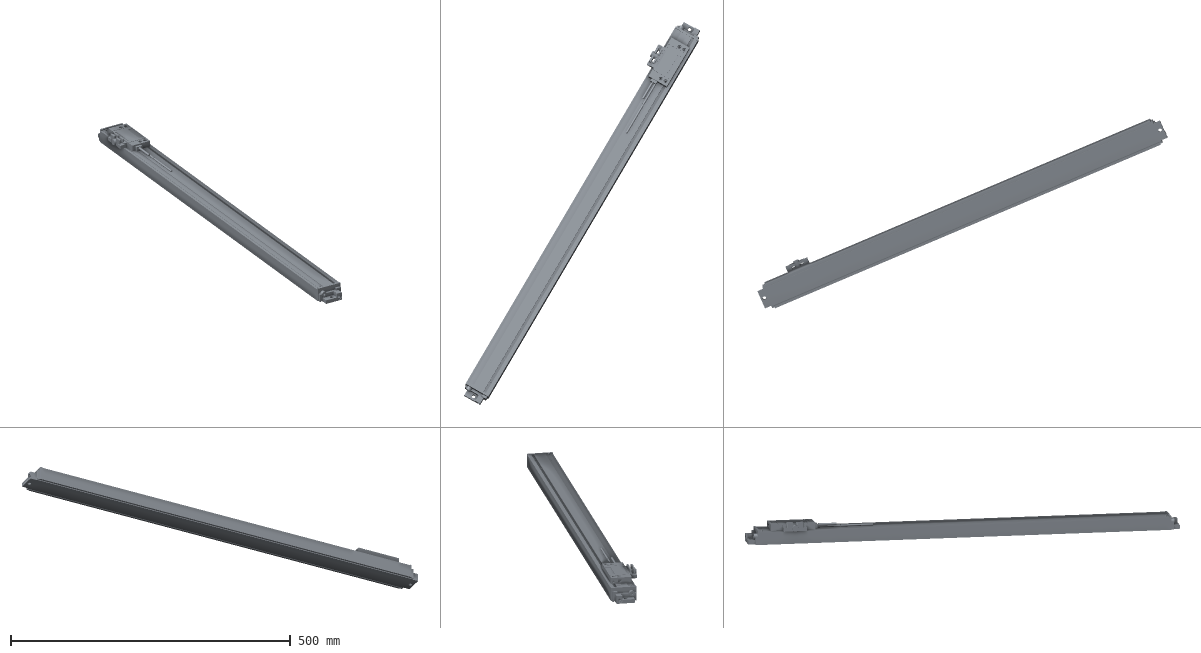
import cadquery as cq


total_length = 784.0
middle_x = total_length / 2
rail_start = 18.5
rail_depth = 47.0
rail_top = 24.0
front_ledge_edge = 4.5
front_ledge_top = 22.4
front_step_top = 23.0
strip_front = 14.0
strip_back = 35.0
groove_back = 40.0
groove_floor = 20.5
foot_slot_width = 2.0
foot_slot_height = 2.0
foot_slot_ys = (front_ledge_edge, 42.0)
groove_joint_xs = (692.0, 741.0)
groove_joint_width = 1.5
groove_joint_top = 22.0

lip_start = 16.5
lip_end = 20.0
lip_front = 0.5
lip_top = 25.0
cap_plate_start = 12.0
cap_plate_front = 1.5
cap_plate_back = 45.0
cap_plate_top = 14.5
cap_shoulder_front = 36.0
cap_shoulder_top = 18.5
cap_boss_start = 10.0
cap_boss_radius = 5.0
cap_boss_y = 9.5
cap_boss_z = 14.0
cap_boss_bore_radius = 2.0
cap_boss_bore_depth = 3.0
cap_stud_x = 24.5
cap_stud_y = 9.0
cap_stud_radius = 1.2
cap_stud_top = 26.0

bracket_front = 7.0
bracket_back = 40.0
flange_top = 7.0
bracket_block_front = 29.5
bracket_block_top = cap_plate_top
mount_hole_x = 6.5
mount_hole_y = 22.5
mount_hole_radius = 3.3
spotface_radius = 8.0
port_y = 34.5
port_z = 6.5
port_radius = 5.0
port_depth = 1.5
port_bore_radius = 2.5
port_bore_depth = 8.0

head_start = 40.0
head_end = 121.5
head_front = front_ledge_edge
head_back = 42.0
head_top = 35.4
main_start = 54.0
main_end = 108.0
seam_width = 1.0
seam_depth = 1.0
label_depth = 0.8
back_label_x = (62.0, 101.0)
back_label_y = (31.0, 40.5)
front_label_x = (59.5, 101.0)
front_label_y = (5.5, 9.0)
screw_places = ((48.0, 35.5), (48.0, 25.5), (114.5, 35.5), (114.5, 25.5))
screw_head_radius = 3.5
screw_head_depth = 5.0
screw_hole_radius = 1.8
end_socket_y = 26.5
end_socket_z = 29.5
end_socket_radius = 3.5
end_socket_depth = 4.0
side_socket_y = 38.5
side_socket_z = 28.0
side_socket_radius = 2.5
tongue_start = 28.0
tongue_front = 25.5
tongue_thickness = 0.6

outlet_length = 5.0
outlet_front = 11.0
outlet_back = 22.5
outlet_top = 32.5
upper_cable_y = 15.8
upper_cable_z = 30.4
upper_cable_radius = 2.1
upper_cable_end = 161.0
lower_cable_y = 21.2
lower_cable_radius = 1.8
lower_cable_end = 229.0
lower_joint_x = 168.5
neck_length = 2.0
neck_radius = 0.8

connector_x = 82.5
connector_bottom = 24.5
connector_plate_length = 42.0
connector_plate_front = -1.0
connector_plate_top = 34.0
lug_front = -9.5
lug_top = 31.0
lug_inner = 11.5
lug_outer = 21.0
bar_front = -8.5
bar_back = -5.0
rear_bar_back = 2.0
bar_inner = 3.0
bar_outer = 15.5
bar_top = 39.3
bar_rounding = 1.2
plug_radius = 5.5
plug_front = -12.1


def block(x_range, y_range, z_range):
    """Box between the given limits along X, Y and Z."""
    size = [high - low for low, high in (x_range, y_range, z_range)]
    corner = (x_range[0], y_range[0], z_range[0])
    return cq.Workplane("XY").box(*size, centered=False).translate(corner)


def rod_along_x(x_range, y, z, radius):
    """Cylinder along X."""
    length = x_range[1] - x_range[0]
    return cq.Workplane("YZ", origin=(x_range[0], y, z)).circle(radius).extrude(length)


def post(x, y, z_range, radius):
    """Cylinder along Z."""
    height = z_range[1] - z_range[0]
    return cq.Workplane("XY", origin=(x, y, z_range[0])).circle(radius).extrude(height)


def make_rail():
    """Long stepped profile with a groove behind its middle strip and two slots underneath."""
    profile = [
        (0, 0),
        (rail_depth, 0),
        (rail_depth, rail_top),
        (groove_back, rail_top),
        (groove_back, groove_floor),
        (strip_back, groove_floor),
        (strip_back, rail_top),
        (strip_front, rail_top),
        (strip_front, front_step_top),
        (front_ledge_edge, front_step_top),
        (front_ledge_edge, front_ledge_top),
        (0, front_ledge_top),
    ]
    rail_length = total_length - 2 * rail_start
    rail = cq.Workplane("YZ", origin=(rail_start, 0, 0)).polyline(profile).close().extrude(rail_length)
    for x in groove_joint_xs:
        joint_x = (x, x + groove_joint_width)
        rail = rail.union(block(joint_x, (strip_back, groove_back), (groove_floor, groove_joint_top)))
    return rail


def make_end_cap():
    """Left end cap: a raised lip on the rail, an outer plate, a round boss and a small stud."""
    lip = block((lip_start, lip_end), (lip_front, rail_depth), (0, lip_top))
    plate_x = (cap_plate_start, lip_start)
    plate = block(plate_x, (cap_plate_front, cap_plate_back), (0, cap_plate_top))
    shoulder = block(plate_x, (cap_shoulder_front, cap_plate_back), (0, cap_shoulder_top))
    boss = rod_along_x((cap_boss_start, lip_start), cap_boss_y, cap_boss_z, cap_boss_radius)
    stud = post(cap_stud_x, cap_stud_y, (front_step_top, cap_stud_top), cap_stud_radius)
    bore_x = (cap_boss_start, cap_boss_start + cap_boss_bore_depth)
    bore = rod_along_x(bore_x, cap_boss_y, cap_boss_z, cap_boss_bore_radius)
    return lip.union(plate).union(shoulder).union(boss).union(stud).cut(bore)


def make_bracket():
    """Left mounting bracket: a drilled flange with a taller block that carries a round port."""
    bracket_x = (0, lip_start)
    flange = block(bracket_x, (bracket_front, bracket_back), (0, flange_top))
    tall_block = block(bracket_x, (bracket_block_front, bracket_back), (0, bracket_block_top))
    spotface_z = (flange_top, bracket_block_top)
    spotface = post(mount_hole_x, mount_hole_y, spotface_z, spotface_radius)
    mount_hole = post(mount_hole_x, mount_hole_y, (0, flange_top), mount_hole_radius)
    port = rod_along_x((0, port_depth), port_y, port_z, port_radius)
    port_bore = rod_along_x((0, port_bore_depth), port_y, port_z, port_bore_radius)
    return flange.union(tall_block).cut(spotface).cut(mount_hole).cut(port).cut(port_bore)


def make_scale_housing():
    """Rail with an end cap and a bracket at each end; the right end mirrors the left."""
    left_end = make_bracket().union(make_end_cap())
    right_end = left_end.mirror("YZ", (middle_x, 0, 0))
    housing = make_rail().union(left_end).union(right_end)
    for y in foot_slot_ys:
        slot_y = (y - foot_slot_width / 2, y + foot_slot_width / 2)
        housing = housing.cut(block((0, total_length), slot_y, (0, foot_slot_height)))
    return housing


def make_carriage():
    """Block sliding on the rail, with seams, label recesses, screw holes and two end sockets."""
    carriage = block((head_start, head_end), (head_front, head_back), (rail_top, head_top))
    for seam_x in (main_start, main_end):
        seam = block(
            (seam_x - seam_width, seam_x),
            (head_front, head_back),
            (head_top - seam_depth, head_top),
        )
        carriage = carriage.cut(seam)
    label_z = (head_top - label_depth, head_top)
    carriage = carriage.cut(block(back_label_x, back_label_y, label_z))
    carriage = carriage.cut(block(front_label_x, front_label_y, label_z))
    for x, y in screw_places:
        head_recess = post(x, y, (head_top - screw_head_depth, head_top), screw_head_radius)
        screw_hole = post(x, y, (rail_top, head_top), screw_hole_radius)
        carriage = carriage.cut(head_recess).cut(screw_hole)
    socket_x = (head_start, head_start + end_socket_depth)
    carriage = carriage.cut(rod_along_x(socket_x, end_socket_y, end_socket_z, end_socket_radius))
    carriage = carriage.cut(rod_along_x(socket_x, side_socket_y, side_socket_z, side_socket_radius))
    tongue_z = (rail_top, rail_top + tongue_thickness)
    tongue = block((tongue_start, head_start), (tongue_front, strip_back), tongue_z)
    return carriage.union(tongue)


def make_cables():
    """Outlet block with a short upper cable and a long lower cable that has a narrow joint."""
    outlet_end = head_end + outlet_length
    outlet = block((head_end, outlet_end), (outlet_front, outlet_back), (rail_top, outlet_top))
    upper_start = outlet_end + neck_length
    upper_neck = rod_along_x((outlet_end, upper_start), upper_cable_y, upper_cable_z, neck_radius)
    upper = rod_along_x((upper_start, upper_cable_end), upper_cable_y, upper_cable_z, upper_cable_radius)
    lower_z = rail_top + lower_cable_radius
    joint_x = (lower_joint_x, lower_joint_x + neck_length)
    lower_near = rod_along_x((outlet_end, joint_x[0]), lower_cable_y, lower_z, lower_cable_radius)
    lower_neck = rod_along_x(joint_x, lower_cable_y, lower_z, neck_radius)
    lower_far = rod_along_x((joint_x[1], lower_cable_end), lower_cable_y, lower_z, lower_cable_radius)
    cables = outlet.union(upper_neck).union(upper)
    return cables.union(lower_near).union(lower_neck).union(lower_far)


def make_connector():
    """Plate on the carriage front with a round plug, with a lug and two upright bars on each side."""
    half_plate = connector_plate_length / 2
    plate = block(
        (connector_x - half_plate, connector_x + half_plate),
        (connector_plate_front, head_front),
        (connector_bottom, connector_plate_top),
    )
    plug_z = connector_bottom + plug_radius
    plug_base = cq.Workplane("XZ", origin=(connector_x, connector_plate_front, plug_z))
    plug = plug_base.circle(plug_radius).extrude(connector_plate_front - plug_front)
    lug = block(
        (connector_x - lug_outer, connector_x - lug_inner),
        (lug_front, connector_plate_front),
        (connector_bottom, lug_top),
    )
    left_side = lug
    bar_x = (connector_x - bar_outer, connector_x - bar_inner)
    for bar_y in ((bar_front, bar_back), (connector_plate_front, rear_bar_back)):
        bar = block(bar_x, bar_y, (connector_bottom, bar_top))
        left_side = left_side.union(bar.edges("|Z").fillet(bar_rounding))
    right_side = left_side.mirror("YZ", (connector_x, 0, 0))
    return plate.union(plug).union(left_side).union(right_side)


scale_housing = make_scale_housing()
scanning_head = make_carriage().union(make_cables()).union(make_connector())

result = cq.Compound.makeCompound([scale_housing.val(), scanning_head.val()])